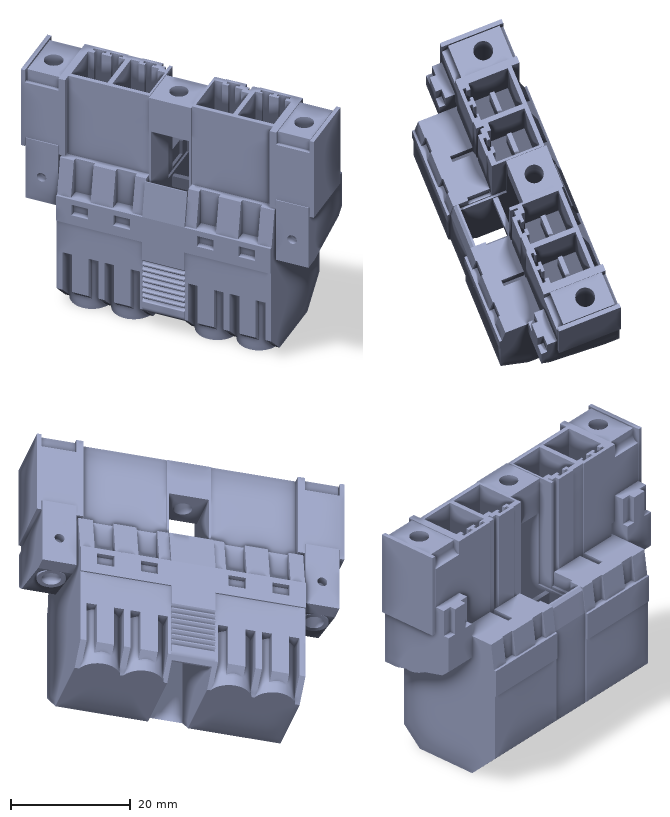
import cadquery as cq


screw_span = 45.6
pitch = screw_span / 6
total_width = 53.35
total_height = 45.05
contact_places = [-2 * pitch, -pitch, pitch, 2 * pitch]
side_signs = [-1, 1]

plug_half_width = 19.5
plug_front = -6.5
plug_back = 14.1
plug_lower_front = -6.25
plug_lower_back = 13.85
band_bottom = 17.35
band_top = 22.4
front_rim_top = 29.2
plug_top = 27.2
bottom_front = -2.7
bottom_back = 8.85
front_chamfer_top = 3.45
back_chamfer_top = 4.95

gap_half_width = 3.85
channel_half_width = 3.45
strip_inner = -5.25
strip_bottom = 2.8
strip_top = 28.85
back_plate_inner = 12.05
back_plate_outer = 13.5

header_half_width = 18.95
header_front = -3.4
header_back = 6.25
header_bottom = 24.0
cell_front = -2.65
cell_floor = 30.95
header_recessed_top = 44.85

flange_bottom = 29.65
flange_front = -4.85
flange_inner = 18.6
insert_inner = 19.85
insert_outer = 25.75
opening_outer = 25.95
insert_front = -4.15
front_wall_bottom = 31.5
front_wall_top = 42.55

blade_width = 4.3
blade_front = 0.2
blade_back = 1.0
blade_top = 37.35


def block(x_range, y_range, z_range):
    """Axis-aligned box given by its limits along each axis."""
    spans = [sorted(limits) for limits in (x_range, y_range, z_range)]
    lengths = [high - low for low, high in spans]
    corner = tuple(low for low, high in spans)
    return cq.Workplane("XY").box(*lengths, centered=False).translate(corner)


def prism(outline, x_range):
    """Prism along X whose outline is a list of (y, z) points."""
    low, high = sorted(x_range)
    return cq.Workplane("YZ").workplane(offset=low).polyline(outline).close().extrude(high - low)


def upright_cylinder(x, y, radius, z_range):
    low, high = z_range
    return cq.Workplane("XY").workplane(offset=low).center(x, y).circle(radius).extrude(high - low)


def around(centre, half_width):
    return (centre - half_width, centre + half_width)


def plug_blank():
    shelf_front = -6.1
    rim_front = -4.85
    back_slope_foot = 13.65
    back_slope_top = 13.0
    outline = [
        (bottom_front, 0),
        (bottom_back, 0),
        (plug_lower_back, back_chamfer_top),
        (plug_lower_back, band_bottom),
        (plug_back, band_bottom),
        (plug_back, band_top),
        (back_slope_foot, band_top),
        (back_slope_top, plug_top),
        (header_front, plug_top),
        (header_front, front_rim_top),
        (rim_front, front_rim_top),
        (shelf_front, band_top),
        (plug_front, band_top),
        (plug_front, band_bottom),
        (plug_lower_front, band_bottom),
        (plug_lower_front, front_chamfer_top),
    ]
    return prism(outline, around(0, plug_half_width))


def cut_header_seat(plug):
    return plug.cut(block(around(0, header_half_width), (header_front, header_back),
                          (header_bottom, plug_top)))


def cut_central_gap(plug):
    """Separate the halves: open channel, wider seat, clear front and lowered back plate."""
    slope_start = (12.45, plug_top)
    slope_knee = (12.95, 26.7)
    wide = around(0, gap_half_width)
    narrow = around(0, channel_half_width)
    channel = (strip_inner, back_plate_inner)
    plug = plug.cut(block(narrow, channel, (0, total_height)))
    plug = plug.cut(block(narrow, (plug_front, plug_back), (0, strip_bottom)))
    plug = plug.cut(block(wide, channel, (header_bottom, total_height)))
    plug = plug.cut(block(wide, (plug_front, strip_inner), (strip_bottom, total_height)))
    back_clearance = [
        slope_start,
        slope_knee,
        (back_plate_outer, band_top),
        (back_plate_outer, 0),
        (plug_back, 0),
        (plug_back, plug_top),
    ]
    return plug.cut(prism(back_clearance, wide))


def front_strip():
    """Strip joining the halves at the front, with V-shaped grip grooves across it."""
    slope_top_front = -5.4
    grip_top = 13.7
    grip_bottom = 5.05
    groove_count = 8
    groove_pitch = (grip_top - grip_bottom) / groove_count
    groove_width = 0.85
    groove_depth = 0.45
    lower_edge_radius = 1.05
    chamfer_run = (plug_lower_front - bottom_front) / front_chamfer_top
    outline = [
        (strip_inner, strip_bottom),
        (strip_inner, strip_top),
        (slope_top_front, strip_top),
        (plug_front, band_top),
    ]
    for groove in range(groove_count):
        groove_top = grip_top - groove * groove_pitch
        outline.append((plug_front, groove_top))
        outline.append((plug_front + groove_depth, groove_top - groove_width / 2))
        outline.append((plug_front, groove_top - groove_width))
    lower_edge_z = (plug_front - bottom_front) / chamfer_run
    outline.append((plug_front, lower_edge_z))
    outline.append((bottom_front + chamfer_run * strip_bottom, strip_bottom))
    strip = prism(outline, around(0, gap_half_width))
    lower_edge = cq.selectors.NearestToPointSelector((0, plug_front, lower_edge_z))
    return strip.edges(lower_edge).fillet(lower_edge_radius)


def cross_bar():
    """Bar across the channel below the header seat."""
    bar_front = 5.1
    bar_back = 6.05
    bar_bottom = 21.35
    bar_top = 23.5
    return block(around(0, channel_half_width), (bar_front, bar_back), (bar_bottom, bar_top))


def cut_rim_pockets(plug):
    """Pockets in the sloping rims at front and back, in line with the contacts."""
    front_pocket_floor = -4.15
    front_pocket_width = 3.6
    back_pocket_floor = 12.8
    back_pocket_width = 2.55
    for x in contact_places:
        plug = plug.cut(block(around(x, front_pocket_width / 2), (plug_front, front_pocket_floor),
                              (band_top, front_rim_top)))
        plug = plug.cut(block(around(x, back_pocket_width / 2), (back_pocket_floor, plug_back),
                              (band_top, plug_top)))
    return plug


def cut_test_windows(plug):
    window_half_width = 1.5
    window_depth = 1.05
    window_bottom = 19.2
    window_top = 21.35
    for x in contact_places:
        plug = plug.cut(block(around(x, window_half_width), (plug_front, plug_front + window_depth),
                              (window_bottom, window_top)))
    return plug


def cut_top_slots(plug):
    slot_back = 10.3
    slot_floor = 24.55
    slot_limits = [(gap_half_width, 4.4), (10.95, 12.0)]
    for side in side_signs:
        for inner, outer in slot_limits:
            plug = plug.cut(block((side * inner, side * outer), (header_back, slot_back),
                                  (slot_floor, plug_top)))
    return plug


def add_wire_sleeves(plug):
    """Round wire sleeves, bared by two upright slots each and standing out of the chamfer."""
    sleeve_radius = 3.8
    sleeve_y = -1.4
    sleeve_top = 11.05
    slot_inner = 1.5
    slot_outer = 3.25
    for x in contact_places:
        for side in side_signs:
            plug = plug.cut(block((x + side * slot_inner, x + side * slot_outer),
                                  (plug_lower_front, sleeve_y), (0, sleeve_top)))
    for x in contact_places:
        plug = plug.union(upright_cylinder(x, sleeve_y, sleeve_radius, (0, sleeve_top)))
    return plug


def make_plug():
    plug = cut_header_seat(plug_blank())
    plug = cut_rim_pockets(plug)
    plug = cut_test_windows(plug)
    plug = cut_top_slots(plug)
    plug = add_wire_sleeves(plug)
    plug = cut_central_gap(plug)
    return plug.union(front_strip()).union(cross_bar())


def cell_cavity(centre, back_steps, key_offsets, mirror=0.55):
    """Contact cell with a stepped back wall and T-shaped key slots in it.

    back_steps lists (from x, to x, back y), with x measured from the cell centre.
    """
    key_half_neck = 0.65
    key_half_head = 1.2
    key_neck_back = 5.1
    key_head_back = 5.65
    heights = (cell_floor, total_height)
    cavity = cq.Workplane("XY")
    for start, end, back in back_steps:
        step_x = (centre + mirror * start, centre + mirror * end)
        cavity = cavity.union(block(step_x, (cell_front, back), heights))
    for offset in key_offsets:
        key_x = centre + mirror * offset
        cavity = cavity.union(block(around(key_x, key_half_neck), (cell_front, key_neck_back), heights))
        cavity = cavity.union(block(around(key_x, key_half_head), (key_neck_back, key_head_back), heights))
    return cavity


def cut_cells(header):
    outer_steps = [(-3.25, -2.15, 4.45), (-2.15, 2.15, 4.6), (2.15, 3.35, 4.8)]
    outer_keys = [-1.55, 1.5]
    inner_steps = [(-6.3, -3.3, 5.1), (-3.3, 3.8, 4.6), (3.8, 6.4, 3.9)]
    inner_keys = [0]
    for side in side_signs:
        header = header.cut(cell_cavity(side * 2 * pitch, outer_steps, outer_keys, mirror=-side))
        header = header.cut(cell_cavity(side * pitch, inner_steps, inner_keys))
    return header


def cut_back_grooves(header):
    """Shallow reliefs and a hooked groove down the back of each inner cell."""
    heights = (header_bottom, total_height)
    relief_floor = 6.1
    groove_floor = 5.5
    hook_floor = 4.8
    groove_start = 2.05
    hook_start = 2.9
    groove_end = 3.2
    cuts = [
        (-4.3, -1.7, relief_floor),
        (groove_start, groove_end, groove_floor),
        (hook_start, groove_end, hook_floor),
        (groove_end, 4.4, relief_floor),
    ]
    for side in side_signs:
        centre = side * pitch
        for start, end, floor in cuts:
            header = header.cut(block((centre + start, centre + end), (floor, header_back), heights))
    return header


def centre_bridge():
    """Bridge between the halves with a screw hole and a leg along each side."""
    bridge_front = -3.75
    bridge_back = 3.5
    bridge_underside = 38.1
    hole_radius = 1.6
    bridge = block(around(0, gap_half_width), (bridge_front, bridge_back),
                   (header_bottom, header_recessed_top))
    bridge = bridge.cut(block(around(0, channel_half_width), (bridge_front, bridge_back),
                              (header_bottom, bridge_underside)))
    return bridge.cut(upright_cylinder(0, 0, hole_radius, (header_bottom, total_height)))


def header_flange(side):
    """Flange frame: inner column, outer plate and the front wall between them."""
    heights = (flange_bottom, total_height)
    depth = (flange_front, header_back)
    column = block((side * flange_inner, side * insert_inner), depth, heights)
    plate = block((side * opening_outer, side * total_width / 2), depth, heights)
    front_wall = block((side * insert_inner, side * opening_outer), (flange_front, insert_front),
                       (front_wall_bottom, front_wall_top))
    return column.union(front_wall).union(plate)


def make_header():
    header = cq.Workplane("XY")
    for side in side_signs:
        half = block((side * gap_half_width, side * header_half_width), (header_front, header_back),
                     (header_bottom, total_height))
        header = header.union(half).union(header_flange(side))
    header = cut_back_grooves(cut_cells(header))
    header = header.union(centre_bridge())
    for x in contact_places:
        header = header.cut(make_blade(x))
    return header


def make_blade(x):
    return block(around(x, blade_width / 2), (blade_front, blade_back), (header_bottom, blade_top))


def make_insert(side):
    insert_bottom = 19.35
    leg_front = -5.0
    leg_back = 9.05
    upper_back = 5.1
    ledge_z = 42.4
    ledge_radius = 1.05
    leg_shoulder = 34.85
    screw_x = side * screw_span / 2
    boss_radius = 2.45
    screw_radius = 1.65
    outline = [
        (insert_front, header_recessed_top),
        (upper_back, header_recessed_top),
        (upper_back, ledge_z),
        (header_back, ledge_z),
        (header_back, leg_shoulder),
        (leg_back, leg_shoulder),
        (leg_back, 23.2),
        (7.65, 21.95),
        (-2.4, insert_bottom),
        (leg_front, insert_bottom),
        (leg_front, front_wall_bottom),
        (insert_front, front_wall_bottom),
    ]
    insert = prism(outline, (side * insert_inner, side * insert_outer))
    ledge_corner = cq.selectors.NearestToPointSelector((screw_x, upper_back, ledge_z))
    insert = insert.edges(ledge_corner).fillet(ledge_radius)
    insert = insert.union(upright_cylinder(screw_x, 0, boss_radius, (insert_bottom, flange_bottom)))
    insert = insert.cut(upright_cylinder(screw_x, 0, screw_radius, (0, total_height)))

    corner_width = 1.65
    corner_front = 8.0
    corner_bottom = 29.9
    for x_range in [(insert_inner, insert_inner + corner_width),
                    (insert_outer - corner_width, insert_outer)]:
        insert = insert.cut(block([side * x for x in x_range], (corner_front, leg_back),
                                  (corner_bottom, leg_shoulder)))

    dimple_radius = 0.85
    dimple_depth = 1.6
    dimple_z = 24.3
    dimple = cq.Workplane("XZ", origin=(screw_x, leg_front, dimple_z))
    return insert.cut(dimple.circle(dimple_radius).extrude(-dimple_depth))


plug = make_plug()
header = make_header()
blades = [make_blade(x) for x in contact_places]
inserts = [make_insert(side) for side in side_signs]

result = cq.Compound.makeCompound([
    plug.val(),
    header.val(),
    *[blade.val() for blade in blades],
    *[insert.val() for insert in inserts],
])